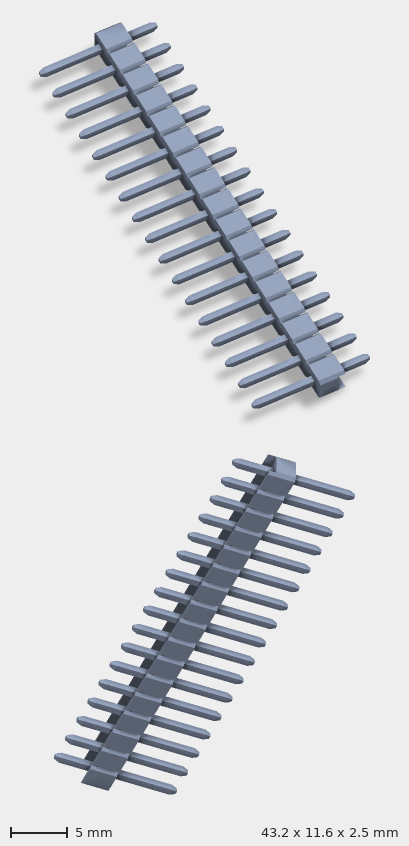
import cadquery as cq

pin_count = 17
row_length = 43.2
pitch = row_length / pin_count

strip_height = 2.5
strip_depth = 2.55
notch_half_width = 0.3
notch_depth = 0.35

channel_depth = 0.7
lip_thickness = 0.28
channel_height = strip_height - 2 * lip_thickness

pin_width = 0.65
pin_front_length = 6.05
pin_rear_length = 3.02
tip_length = 0.5
tip_width = 0.35
pin_row_offset = -0.095

front_face = -strip_depth / 2
rear_face = strip_depth / 2


def make_cell(x):
    """One pin position of the strip: a block with its four long edges bevelled."""
    half_width = pitch / 2
    half_height = strip_height / 2
    flat = half_width - notch_half_width
    side = half_height - notch_depth
    outline = [
        (-flat, half_height), (flat, half_height), (half_width, side), (half_width, -side),
        (flat, -half_height), (-flat, -half_height), (-half_width, -side), (-half_width, side),
    ]
    cell = cq.Workplane("XZ").polyline(outline).close().extrude(strip_depth / 2, both=True)
    return cell.translate((x, 0, 0))


def make_tip(x, y_base, y_end):
    """Tapered pin end running from y_base to the small square at y_end."""
    base = cq.Workplane("XZ", origin=(x, y_base, 0)).rect(pin_width, pin_width)
    return base.workplane(offset=y_base - y_end).rect(tip_width, tip_width).loft()


def make_pin(x):
    """Square pin with a tapered tip at each end."""
    front_end = front_face - pin_front_length
    rear_end = rear_face + pin_rear_length
    shank_front = front_end + tip_length
    shank_rear = rear_end - tip_length
    shank = cq.Workplane("XY").box(pin_width, shank_rear - shank_front, pin_width)
    shank = shank.translate((x, (shank_front + shank_rear) / 2, 0))
    return shank.union(make_tip(x, shank_front, front_end)).union(make_tip(x, shank_rear, rear_end))


first_x = -row_length / 2 + pitch / 2
cell_centres = [first_x + index * pitch for index in range(pin_count)]

strip = make_cell(cell_centres[0])
for centre in cell_centres[1:]:
    strip = strip.union(make_cell(centre))
strip = strip.clean()

channel = cq.Workplane("XY").box(row_length, channel_depth, channel_height)
strip = strip.cut(channel.translate((0, rear_face - channel_depth / 2, 0)))

result = strip
for centre in cell_centres:
    result = result.union(make_pin(centre + pin_row_offset))